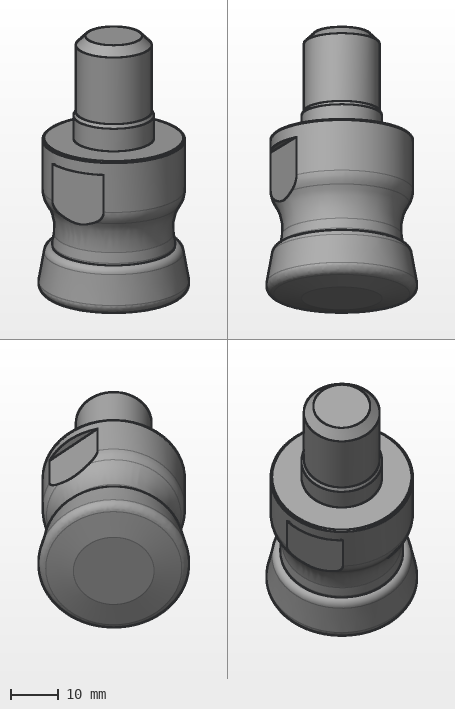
import cadquery as cq
import math

total_height = 57.75
shoulder_top = 40.9
shoulder_bottom = 40.0
collar_top = 35.0
collar_bottom = 23.7
neck_seat = 11.6
cap_top = 11.15

stud_radius = 16.0 / 2
shoulder_radius = 17.0 / 2
collar_radius = 30.0 / 2
seat_radius = 25.9 / 2
stud_chamfer = 2.0
collar_chamfer = 0.35

convex_radius = 5.0
concave_radius = 10.0
waist_slope = math.radians(33.6)
flare_slope = math.radians(8.7)

flat_offset = 13.5
flat_top = 31.95
flat_cut_bottom = 17.3

cap_taper = math.radians(10)
cap_rim_radius = 16.15
cap_base_radius = 8.5
cap_top_fillet = 1.75
cap_rim_fillet = 1.9


def on_arc(center, radius, angle):
    """Point on an arc in the radius-height plane."""
    return center[0] + radius * math.cos(angle), center[1] + radius * math.sin(angle)


def make_body():
    """Threaded-end stud, collar and waisted neck turned in one piece."""
    convex_center = (collar_radius - convex_radius, collar_bottom)
    inflection = on_arc(convex_center, convex_radius, -waist_slope)
    concave_center = on_arc(convex_center, convex_radius + concave_radius, -waist_slope)
    waist = on_arc(concave_center, concave_radius, math.pi)
    flare_start = on_arc(concave_center, concave_radius, math.pi + flare_slope)

    body = (
        cq.Workplane("XZ")
        .moveTo(0, cap_top)
        .lineTo(seat_radius, cap_top)
        .lineTo(seat_radius, neck_seat)
        .lineTo(*flare_start)
        .threePointArc(waist, inflection)
        .threePointArc(
            on_arc(convex_center, convex_radius, -waist_slope / 2),
            (collar_radius, collar_bottom),
        )
        .lineTo(collar_radius, collar_top - collar_chamfer)
        .lineTo(collar_radius - collar_chamfer, collar_top)
        .lineTo(shoulder_radius, collar_top)
        .lineTo(shoulder_radius, shoulder_bottom)
        .lineTo(stud_radius, shoulder_top)
        .lineTo(stud_radius, total_height - stud_chamfer)
        .lineTo(stud_radius - stud_chamfer, total_height)
        .lineTo(0, total_height)
        .close()
        .revolve(360, (0, 0), (0, 1))
    )
    return cut_wrench_flats(body)


def cut_wrench_flats(body):
    """Cut two parallel flats below the top band of the collar."""
    cutter_depth = 2 * (collar_radius - flat_offset)
    for side in (-1, 1):
        cutter = cq.Workplane("XY").box(
            2 * collar_radius,
            cutter_depth,
            flat_top - flat_cut_bottom,
            centered=(True, True, False),
        )
        body = body.cut(cutter.translate((0, side * collar_radius, flat_cut_bottom)))
    return body


def make_foot_cap():
    """Tapered cap with a rounded rim and a shallow conical underside."""
    rim_height = (cap_rim_radius - cap_base_radius) * math.tan(cap_taper)
    top_radius = cap_rim_radius - (cap_top - rim_height) * math.tan(cap_taper)
    cap = (
        cq.Workplane("XZ")
        .lineTo(cap_base_radius, 0)
        .lineTo(cap_rim_radius, rim_height)
        .lineTo(top_radius, cap_top)
        .lineTo(0, cap_top)
        .close()
        .revolve(360, (0, 0), (0, 1))
    )
    cap = cap.faces(">Z").edges().fillet(cap_top_fillet)
    widest_edge = cq.selectors.RadiusNthSelector(-1)
    return cap.edges(widest_edge).fillet(cap_rim_fillet)


body = make_body()
foot_cap = make_foot_cap()
result = cq.Compound.makeCompound([body.solids().val(), foot_cap.solids().val()])